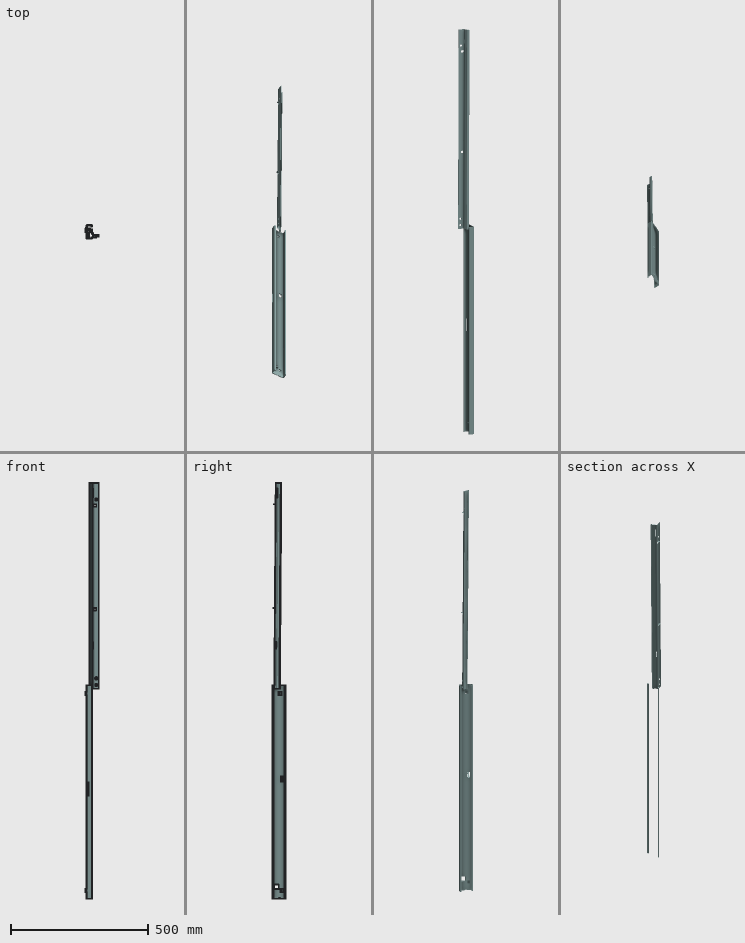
import cadquery as cq
import math


TOTAL_LENGTH = 1515.01
TOTAL_DEPTH = 49.43

CABINET_LENGTH = 778.0
CABINET_WIDTH = 50.2
CABINET_DEPTH = 22.4
CABINET_SHEET = 2.4
CABINET_BEND = 1.0
LIP_HEIGHT = 6.0
LIP_LEAN = 2.2
NOTCH_WIDTH = 4.0
NOTCH_DEPTH = 3.0
NOTCH_Y = 2.3

HOOKS = [(10.3, 748.0), (17.5, 30.0)]
HOOK_REACH = 4.5
HOOK_SLOPE_RUN = 7.2
HOOK_PLATE_LENGTH = 4.2
HOOK_HEIGHT = 13.0
HOOK_END_GAP = 1.0

TONGUE_WINDOW_Y = (6.0, 17.5)
TONGUE_WIDTH = 6.5
TONGUE_Z = (427.0, 446.0)
TONGUE_REACH = 11.0

STOP_Y = (-17.5, -1.0)
STOP_Z = (37.0, 52.0)
STOP_REACH = 10.0

FLANGE_SLOT_X = (4.0, 8.5)
FLANGE_SLOT_Z = (376.0, 424.0)

DRAWER_LENGTH = 750.0
DRAWER_HEIGHT = 21.5
DRAWER_SHEET = 1.2
DRAWER_TILT = 0.4
DRAWER_BASE_Y = -17.67
DRAWER_BASE_Z = TOTAL_LENGTH - DRAWER_LENGTH * math.cos(math.radians(DRAWER_TILT))
FLANGE_END_X = TOTAL_DEPTH - HOOK_REACH
WEB_X = 22.7
WEB_TOP_Y = 7.3
JOGGLE_TOP_X = 15.6
CROWN_UNDERSIDE_Y = 17.0
CROWN_X = (10.7, 21.0)
CROWN_LIP_HEIGHT = 3.0
FLANGE_BEND = 1.8
CROWN_BEND = 0.8

SCREW_HOLE_DIAMETER = 8.0
SCREW_HOLE_X = 36.0
SCREW_HOLES_Z = [14.0, 38.0, 689.0]
PEGS_Z = [293.0, 671.0]
PEG_X = (25.5, 35.0)
PEG_LENGTH = 6.0
PEG_WINDOW_HEIGHT = 8.0
WEB_SLOTS_Z = [(146.0, 170.0), (697.0, 729.0)]
WEB_SLOT_HEIGHT = 3.0
WEB_SLOT_Y = 5.1


def box(x_range, y_range, z_range):
    """Box between two limits along each axis."""
    (x0, x1), (y0, y1), (z0, z1) = x_range, y_range, z_range
    return cq.Workplane("XY").box(x1 - x0, y1 - y0, z1 - z0, centered=False).translate((x0, y0, z0))


def unit(a, b):
    """Unit vector pointing from a to b."""
    length = math.dist(a, b)
    return (b[0] - a[0]) / length, (b[1] - a[1]) / length


def rounded_corner(before, corner, after, radius):
    """Start, middle and end of the arc that rounds a corner."""
    (ux, uy), (vx, vy) = unit(corner, before), unit(corner, after)
    half_angle = math.acos(ux * vx + uy * vy) / 2
    setback = radius / math.tan(half_angle)
    to_middle = radius / math.sin(half_angle) - radius
    bx, by = unit((0, 0), (ux + vx, uy + vy))
    start = (corner[0] + setback * ux, corner[1] + setback * uy)
    middle = (corner[0] + to_middle * bx, corner[1] + to_middle * by)
    end = (corner[0] + setback * vx, corner[1] + setback * vy)
    return start, middle, end


def bent_sheet(path, thickness, bends, length):
    """Sheet extruded along Z, lying on the right of the path.

    `bends` gives the inside radius of each corner of the path.
    """
    directions = [unit(a, b) for a, b in zip(path, path[1:])]
    before = [directions[0]] + directions
    after = directions + [directions[-1]]

    offset_path = []
    for (x, y), (ux, uy), (vx, vy) in zip(path, before, after):
        miter = thickness / (1 + ux * vx + uy * vy)
        offset_path.append((x + miter * (uy + vy), y - miter * (ux + vx)))

    path_arcs = []
    offset_arcs = []
    for i, bend in enumerate(bends, start=1):
        (ux, uy), (vx, vy) = before[i], after[i]
        turns_right = ux * vy - uy * vx < 0
        path_radius = bend + thickness if turns_right else bend
        offset_radius = bend if turns_right else bend + thickness
        path_arcs.append(rounded_corner(*path[i - 1:i + 2], path_radius))
        offset_arcs.append(rounded_corner(*offset_path[i - 1:i + 2], offset_radius))

    outline = cq.Workplane("XY").moveTo(*path[0])
    for start, middle, end in path_arcs:
        outline = outline.lineTo(*start).threePointArc(middle, end)
    outline = outline.lineTo(*path[-1]).lineTo(*offset_path[-1])
    for start, middle, end in reversed(offset_arcs):
        outline = outline.lineTo(*end).threePointArc(middle, start)
    return outline.lineTo(*offset_path[0]).close().extrude(length)


def outward_hook(root_y):
    """Strip that slopes out from the web at root_y and ends in a plate parallel to the web."""
    plate_y = root_y - HOOK_SLOPE_RUN
    end_y = plate_y - HOOK_PLATE_LENGTH
    points = [
        (0, root_y),
        (-HOOK_REACH, plate_y),
        (-HOOK_REACH, end_y),
        (CABINET_SHEET - HOOK_REACH, end_y),
        (CABINET_SHEET - HOOK_REACH, plate_y),
        (CABINET_SHEET, root_y),
    ]
    return cq.Workplane("XY").polyline(points).close().extrude(HOOK_HEIGHT)


def inward_tongue():
    """Tongue hanging inward from the upper edge of its window."""
    bottom, top = TONGUE_Z
    points = [
        (0, top),
        (TONGUE_REACH, bottom),
        (TONGUE_REACH + CABINET_SHEET, bottom),
        (CABINET_SHEET, top),
    ]
    edge_y = TONGUE_WINDOW_Y[0]
    return (
        cq.Workplane("XZ", origin=(0, edge_y + TONGUE_WIDTH, 0))
        .polyline(points).close().extrude(TONGUE_WIDTH)
    )


def make_cabinet_rail():
    half = CABINET_WIDTH / 2
    lip_x = CABINET_DEPTH - LIP_LEAN
    lip_y = half - LIP_HEIGHT
    path = [
        (lip_x, -lip_y),
        (CABINET_DEPTH, -half),
        (0, -half),
        (0, half),
        (CABINET_DEPTH, half),
        (lip_x, lip_y),
    ]
    rail = bent_sheet(path, CABINET_SHEET, [CABINET_BEND] * 4, CABINET_LENGTH)
    web = (0, CABINET_SHEET)

    notch_y = (NOTCH_Y - NOTCH_WIDTH / 2, NOTCH_Y + NOTCH_WIDTH / 2)
    for notch_z in [(0, NOTCH_DEPTH), (CABINET_LENGTH - NOTCH_DEPTH, CABINET_LENGTH)]:
        rail = rail.cut(box(web, notch_y, notch_z))

    for root_y, middle_z in HOOKS:
        bottom = middle_z - HOOK_HEIGHT / 2
        end_y = root_y - HOOK_SLOPE_RUN - HOOK_PLATE_LENGTH
        window = box(web, (end_y - HOOK_END_GAP, root_y), (bottom, bottom + HOOK_HEIGHT))
        rail = rail.cut(window).union(outward_hook(root_y).translate((0, 0, bottom)))

    rail = rail.cut(box(web, TONGUE_WINDOW_Y, TONGUE_Z)).union(inward_tongue())

    shelf_z = (STOP_Z[0] - CABINET_SHEET, STOP_Z[0])
    rail = rail.cut(box(web, STOP_Y, STOP_Z)).union(box((0, STOP_REACH), STOP_Y, shelf_z))

    return rail.cut(box(FLANGE_SLOT_X, (-half, CABINET_SHEET - half), FLANGE_SLOT_Z))


def make_drawer_rail():
    crown_left, crown_right = CROWN_X
    path = [
        (FLANGE_END_X, 0),
        (WEB_X, 0),
        (WEB_X, WEB_TOP_Y),
        (JOGGLE_TOP_X, CROWN_UNDERSIDE_Y),
        (crown_left, CROWN_UNDERSIDE_Y),
        (crown_left, DRAWER_HEIGHT),
        (crown_right, DRAWER_HEIGHT),
        (crown_right, DRAWER_HEIGHT - CROWN_LIP_HEIGHT),
    ]
    bends = [FLANGE_BEND] + [CROWN_BEND] * 5
    rail = bent_sheet(path, DRAWER_SHEET, bends, DRAWER_LENGTH)
    flange = (0, DRAWER_SHEET)

    for hole_z in SCREW_HOLES_Z:
        hole = (
            cq.Workplane("XZ", origin=(SCREW_HOLE_X, DRAWER_SHEET, hole_z))
            .circle(SCREW_HOLE_DIAMETER / 2).extrude(DRAWER_SHEET)
        )
        rail = rail.cut(hole)

    for peg_z in PEGS_Z:
        window = box(PEG_X, flange, (peg_z - PEG_WINDOW_HEIGHT, peg_z))
        peg = box(PEG_X, (-PEG_LENGTH, DRAWER_SHEET), (peg_z, peg_z + DRAWER_SHEET))
        rail = rail.cut(window).union(peg)

    slot_y = (WEB_SLOT_Y - WEB_SLOT_HEIGHT / 2, WEB_SLOT_Y + WEB_SLOT_HEIGHT / 2)
    for slot_z in WEB_SLOTS_Z:
        rail = rail.cut(box((WEB_X, WEB_X + DRAWER_SHEET), slot_y, slot_z))

    leaning = rail.rotate((0, 0, 0), (1, 0, 0), -DRAWER_TILT)
    return leaning.translate((0, DRAWER_BASE_Y, DRAWER_BASE_Z))


cabinet_rail = make_cabinet_rail()
drawer_rail = make_drawer_rail()

result = cq.Compound.makeCompound([cabinet_rail.val(), drawer_rail.val()])